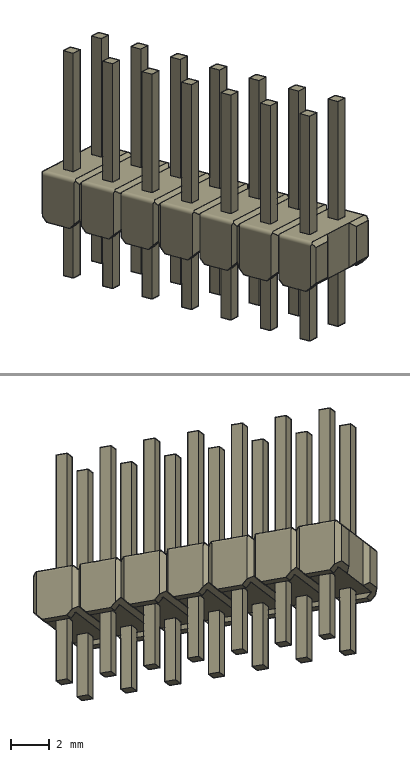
import cadquery as cq


length = 17.78
width = 5.0
columns = 7
pitch = length / columns

pin_side = 0.64
pin_length = 12.7
pin_tail = 3.2

housing_height = 2.81
foot_height = 0.28
foot_width = 0.5
top_edge_radius = 0.21

notch_half_width = 0.25
deep_side_notch = 0.34
shallow_side_notch = 0.15

recess_half_width = 0.96
recess_flare = 0.32

pin_bottom = -pin_length / 2
foot_bottom = pin_bottom + pin_tail
body_top = foot_bottom + housing_height

bottom_notch = notch_half_width + foot_height


def make_bar():
    """Housing cross-section with rounded top edges and two feet, extruded along X."""
    bar = (
        cq.Workplane("XY")
        .box(length, width, housing_height, centered=(True, True, False))
        .translate((0, 0, foot_bottom))
        .faces(">Z")
        .edges("|X")
        .fillet(top_edge_radius)
    )
    channel = (
        cq.Workplane("XY")
        .box(length, width - 2 * foot_width, foot_height, centered=(True, True, False))
        .translate((0, 0, foot_bottom))
    )
    return bar.cut(channel)


def make_top_and_bottom_notches(x):
    """V notches across the top and bottom, running the full width."""
    top = [
        (x - notch_half_width, body_top),
        (x + notch_half_width, body_top),
        (x, body_top - notch_half_width),
    ]
    bottom = [
        (x - bottom_notch, foot_bottom),
        (x + bottom_notch, foot_bottom),
        (x, foot_bottom + bottom_notch),
    ]
    notches = cq.Workplane("XZ").polyline(top).close().polyline(bottom).close()
    return notches.extrude(width / 2, both=True)


def make_side_notches(x, depth):
    """Upright V notches in the front and back faces."""
    notches = cq.Workplane("XY").workplane(offset=foot_bottom)
    for side in (-1, 1):
        face_y = side * width / 2
        notches = notches.polyline(
            [
                (x - notch_half_width, face_y),
                (x + notch_half_width, face_y),
                (x, face_y - side * depth),
            ]
        ).close()
    return notches.extrude(housing_height)


def make_end_recess(end):
    """Recess with flared sides in the end face at -X (end = -1) or +X (end = 1)."""
    outer_x = end * length / 2
    inner_x = outer_x - end * notch_half_width
    mouth_half_width = recess_half_width + recess_flare
    return (
        cq.Workplane("XY")
        .workplane(offset=foot_bottom)
        .polyline(
            [
                (outer_x, -mouth_half_width),
                (inner_x, -recess_half_width),
                (inner_x, recess_half_width),
                (outer_x, mouth_half_width),
            ]
        )
        .close()
        .extrude(housing_height)
    )


def make_housing():
    housing = make_bar()
    for boundary in range(columns + 1):
        x = boundary * pitch - length / 2
        depth = deep_side_notch if boundary % 2 == 0 else shallow_side_notch
        housing = housing.cut(make_top_and_bottom_notches(x))
        housing = housing.cut(make_side_notches(x, depth))
    for end in (-1, 1):
        housing = housing.cut(make_end_recess(end))
    return housing


def make_pins():
    return (
        cq.Workplane("XY")
        .workplane(offset=pin_bottom)
        .rarray(pitch, pitch, columns, 2)
        .rect(pin_side, pin_side)
        .extrude(pin_length)
    )


result = make_housing().union(make_pins())